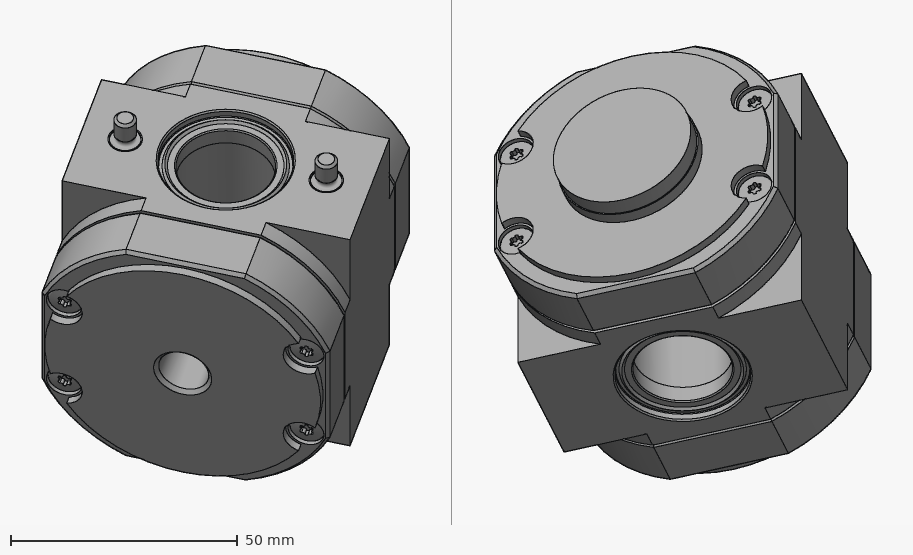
import cadquery as cq
import math

width = 66.0
half_width = width / 2
block_half_depth = 16.0
neck_end = 20.0
flange_diameter = 71.5

port_diameter = 22.0
port_lip_chamfer = 0.3
port_land_depth = 6.2
bore_diameter = 24.12
seat_diameter = 30.0
seat_depth = 2.0
seat_entry_chamfer = 0.35
seat_floor_chamfer = 0.2
ridge_peak_diameter = 26.9
ridge_height = 0.6

cover_face = 33.0
cover_thickness = cover_face - neck_end
cover_chamfer = 0.8
disc_diameter = 63.2
disc_thickness = 2.0
cover_end = cover_face + disc_thickness

screw_x = 27.7
screw_z = 12.6
head_diameter = 8.2
head_crown_diameter = 6.5
head_sink = 0.3
head_crown_height = 0.25
head_rounding = (head_diameter - head_crown_diameter) / 2
disc_notch_diameter = 9.3
star_tip_radius = 1.65
star_root_radius = 1.2
star_flank_radius = 1.5
star_tip_angle = 26.0
star_points = 6
star_first_tip = 90.0
star_depth = 1.5

inlet_diameter = 11.45
inlet_mouth_diameter = 13.3
inlet_depth = 12.0

boss_diameter = 32.6
boss_end = 37.85
boss_tip_diameter = 32.0
boss_tip_end = 41.95

pin_x = 23.05
pin_base_diameter = 7.0
pin_base_depth = 3.0
pin_hole_chamfer = 0.3
pin_neck_diameter = 4.13
pin_flare_radius = 0.8
pin_shoulder_start = 1.2
pin_shoulder_end = 1.7
pin_head_diameter = 5.0
pin_tip_diameter = 3.7
pin_height = 6.8
pin_tip_chamfer = (pin_head_diameter - pin_tip_diameter) / 2


def flange(depth):
    """Round plate with four flats, from Y = 0 to Y = depth."""
    disc = cq.Workplane("XZ").circle(flange_diameter / 2).extrude(-depth)
    square = cq.Workplane("XZ").rect(width, width).extrude(-depth)
    return disc.intersect(square)


def y_cylinder(diameter, start, end):
    """Cylinder on the Y axis between two Y positions."""
    return cq.Workplane("XZ", origin=(0, start, 0)).circle(diameter / 2).extrude(start - end)


def bore_cutter():
    """Upper half of the vertical bore with its sealing seat, as one revolved void."""
    land_radius = port_diameter / 2
    seat_radius = seat_diameter / 2
    peak_radius = ridge_peak_diameter / 2
    seat_floor = half_width - seat_depth
    land_end = half_width - port_land_depth
    profile = [
        (0, 0),
        (bore_diameter / 2, 0),
        (bore_diameter / 2, land_end),
        (land_radius, land_end),
        (land_radius, seat_floor - port_lip_chamfer),
        (land_radius + port_lip_chamfer, seat_floor),
        (peak_radius - ridge_height, seat_floor),
        (peak_radius, seat_floor + ridge_height),
        (peak_radius + ridge_height, seat_floor),
        (seat_radius - seat_floor_chamfer, seat_floor),
        (seat_radius, seat_floor + seat_floor_chamfer),
        (seat_radius, half_width - seat_entry_chamfer),
        (seat_radius + seat_entry_chamfer, half_width),
        (0, half_width),
    ]
    return cq.Workplane("XZ").polyline(profile).close().revolve(360, (0, 0), (0, 1))


def pin_hole(x):
    """Chamfered blind hole that holds the base of one pin."""
    radius = pin_base_diameter / 2
    profile = [
        (0, -pin_base_depth),
        (radius, -pin_base_depth),
        (radius, -pin_hole_chamfer),
        (radius + pin_hole_chamfer, 0),
        (0, 0),
    ]
    plane = cq.Workplane("XZ", origin=(x, 0, half_width))
    return plane.polyline(profile).close().revolve(360, (0, 0), (0, 1))


def make_housing():
    """Block with a neck towards each cover, the vertical bore and the pin holes."""
    neck_length = 2 * neck_end
    body = cq.Workplane("XY").box(width, 2 * block_half_depth, width)
    body = body.union(flange(neck_length).translate((0, -neck_end, 0)))
    upper_bore = bore_cutter()
    body = body.cut(upper_bore).cut(upper_bore.mirror("XY"))
    for x in (-pin_x, pin_x):
        body = body.cut(pin_hole(x))
    return body


def polar(radius, angle):
    """Point at a radius and an angle in degrees."""
    return radius * math.cos(math.radians(angle)), radius * math.sin(math.radians(angle))


def star_outline():
    """Six-lobed star with rounded tips and hollow flanks."""
    pitch = 360 / star_points
    half_tip = star_tip_angle / 2
    outline = cq.Workplane("XZ").moveTo(*polar(star_flank_radius, star_first_tip - half_tip))
    for i in range(star_points):
        tip = star_first_tip + i * pitch
        outline = outline.threePointArc(
            polar(star_tip_radius, tip),
            polar(star_flank_radius, tip + half_tip),
        )
        outline = outline.threePointArc(
            polar(star_root_radius, tip + pitch / 2),
            polar(star_flank_radius, tip + pitch - half_tip),
        )
    return outline.close()


def screw_head_gap():
    """Space above and around a domed screw head, plus its star recess, below Y = 0."""
    outer = head_diameter / 2
    crown = head_crown_diameter / 2
    crown_edge = -head_sink - head_crown_height
    bend = head_rounding * math.sqrt(0.5)
    gap = (
        cq.Workplane("XY")
        .lineTo(outer, 0)
        .lineTo(outer, crown_edge - head_rounding)
        .threePointArc(
            (crown + bend, crown_edge - head_rounding + bend),
            (crown, crown_edge),
        )
        .threePointArc(
            (crown / 2, -head_sink - head_crown_height / 4),
            (0, -head_sink),
        )
        .close()
        .revolve(360, (0, 0), (0, 1))
    )
    return gap.union(star_outline().extrude(head_sink + star_depth))


def make_cover():
    """Plain cover on the +Y side, with its raised disc and four screw heads."""
    cover = flange(cover_thickness).faces("<Y or >Y").chamfer(cover_chamfer)
    cover = cover.translate((0, neck_end, 0))
    cover = cover.union(y_cylinder(disc_diameter, cover_face, cover_end))
    for x in (-screw_x, screw_x):
        for z in (-screw_z, screw_z):
            notch = y_cylinder(disc_notch_diameter, cover_face, cover_end)
            cover = cover.cut(notch.translate((x, 0, z)))
            cover = cover.cut(screw_head_gap().translate((x, cover_face, z)))
    return cover


def make_front_cover():
    """Cover on the -Y side, with the blind port."""
    mouth_depth = (inlet_mouth_diameter - inlet_diameter) / 2
    profile = [
        (0, -cover_end),
        (inlet_mouth_diameter / 2, -cover_end),
        (inlet_diameter / 2, -cover_end + mouth_depth),
        (inlet_diameter / 2, -cover_end + inlet_depth),
        (0, -cover_end + inlet_depth),
    ]
    inlet = cq.Workplane("XY").polyline(profile).close().revolve(360, (0, 0), (0, 1))
    return make_cover().mirror("XZ").cut(inlet)


def make_rear_cover():
    """Cover on the +Y side, with the stepped boss."""
    cover = make_cover().union(y_cylinder(boss_diameter, cover_end, boss_end))
    return cover.union(y_cylinder(boss_tip_diameter, boss_end, boss_tip_end))


def make_pin(x):
    """Pin with a base in the housing, a flared neck and a chamfered head."""
    neck = pin_neck_diameter / 2
    bend = pin_flare_radius * (1 - math.sqrt(0.5))
    pin = (
        cq.Workplane("XZ", origin=(x, 0, half_width))
        .moveTo(0, -pin_base_depth)
        .lineTo(pin_base_diameter / 2, -pin_base_depth)
        .lineTo(pin_base_diameter / 2, 0)
        .lineTo(neck + pin_flare_radius, 0)
        .threePointArc((neck + bend, bend), (neck, pin_flare_radius))
        .lineTo(neck, pin_shoulder_start)
        .lineTo(pin_head_diameter / 2, pin_shoulder_end)
        .lineTo(pin_head_diameter / 2, pin_height - pin_tip_chamfer)
        .lineTo(pin_tip_diameter / 2, pin_height)
        .lineTo(0, pin_height)
        .close()
    )
    return pin.revolve(360, (0, 0), (0, 1))


housing = make_housing()
front_cover = make_front_cover()
rear_cover = make_rear_cover()
pins = [make_pin(x) for x in (-pin_x, pin_x)]

result = cq.Compound.makeCompound(
    [housing.val(), front_cover.val(), rear_cover.val(), *[pin.val() for pin in pins]]
)